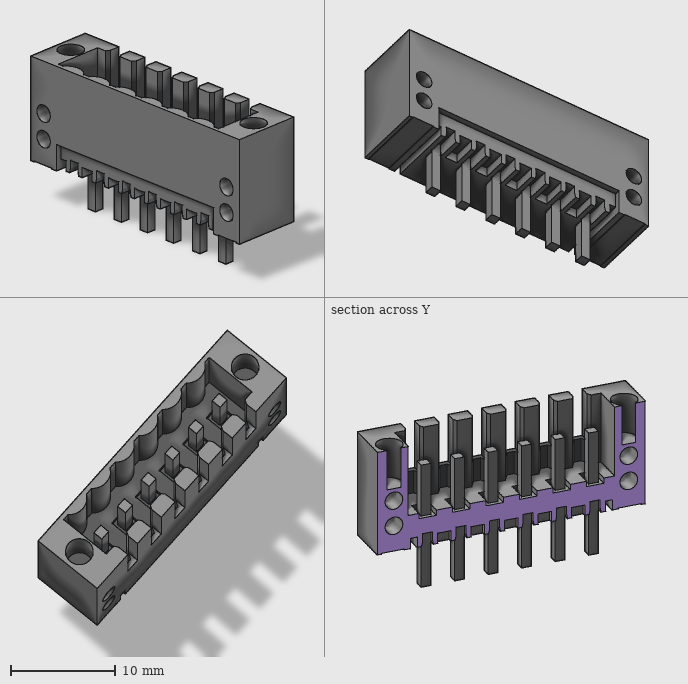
import cadquery as cq

LENGTH = 28.0
DEPTH = 7.45
HEIGHT = 11.0
FRONT = -DEPTH / 2
BACK = DEPTH / 2
PIN_COUNT = 6
PITCH = 3.5

PIN_SIDE = 1.0
PIN_Y = -0.22
PIN_BELOW = 4.55
PIN_TOP = 8.5

CAVITY_LENGTH = 21.53
CAVITY_FLOOR = 3.65
FRONT_WALL = 0.48
BACK_WALL = 1.6
CAVITY_FRONT = FRONT + FRONT_WALL
CAVITY_BACK = BACK - BACK_WALL

RIB_CHORD = 2.75
RIB_RISE = 0.67
FLUTE_MOUTH = 1.95
FLUTE_BOTTOM = 0.75
FLUTE_DEPTH = 1.0
BACK_SLOT_WIDTH = 1.45
BACK_SLOT_DEPTH = 4.98
PIN_WELL_SIDE = 1.8
PIN_WELL_DEPTH = 0.55

END_HOLE_X = LENGTH / 2 - 1.75
SCREW_HOLE_DIAMETER = 2.63
SCREW_HOLE_DEPTH = 4.2
CROSS_HOLE_DIAMETER = 1.8
CROSS_HOLE_HEIGHTS = (2.8, 5.5)

RECESS_LENGTH = 21.05
RECESS_HEIGHT = 2.77
RECESS_DEPTH = 0.6
NOTCH_HEIGHT = 1.1
END_NOTCH_WIDTH = 0.67
NOTCH_WIDTH = 1.35
PIN_SLOT_HEIGHT = 1.35
FLARE_WIDTH = 0.1
FLARE_HEIGHT = 0.45
FOOT_GROOVE_X = LENGTH / 2 - 1.62
FOOT_GROOVE_WIDTH = 2.38
FOOT_GROOVE_HEIGHT = 0.08
RECESS_FACE = FRONT + RECESS_DEPTH
PIN_FRONT = PIN_Y - PIN_SIDE / 2

PIN_XS = [(i - (PIN_COUNT - 1) / 2) * PITCH for i in range(PIN_COUNT)]
NOTCH_XS = [x + PITCH / 2 for x in PIN_XS[:-1]]
SIDES = (-1, 1)


def block(x, width, y_range, z_range):
    """Box centred on x, spanning the given Y and Z ranges."""
    y_min, y_max = y_range
    z_min, z_max = z_range
    size = (width, y_max - y_min, z_max - z_min)
    return cq.Workplane("XY").box(*size, centered=(True, False, False)).translate((x, y_min, z_min))


def square_post(x, side, z_range):
    """Square post on the pin axis at x."""
    return block(x, side, (PIN_Y - side / 2, PIN_Y + side / 2), z_range)


def make_rib(x):
    """Rounded rib on the inner side of the front wall, rising from the cavity floor."""
    half = RIB_CHORD / 2
    return (
        cq.Workplane("XY", origin=(x, CAVITY_FRONT, CAVITY_FLOOR))
        .moveTo(-half, 0)
        .threePointArc((0, RIB_RISE), (half, 0))
        .close()
        .extrude(HEIGHT - CAVITY_FLOOR)
    )


def make_flute(x):
    """Tapered vertical flute in the inner side of the back wall."""
    mouth = FLUTE_MOUTH / 2
    bottom = FLUTE_BOTTOM / 2
    return (
        cq.Workplane("XY", origin=(x, CAVITY_BACK, CAVITY_FLOOR))
        .polyline([(-mouth, 0), (mouth, 0), (bottom, FLUTE_DEPTH), (-bottom, FLUTE_DEPTH)])
        .close()
        .extrude(HEIGHT - CAVITY_FLOOR)
    )


def make_pin_slot(x):
    """Slot from the recess face to the pin, with a flared mouth at the bottom."""
    half = PIN_SIDE / 2
    flared = half + FLARE_WIDTH
    outline = [
        (-flared, 0),
        (-half, FLARE_HEIGHT),
        (-half, PIN_SLOT_HEIGHT),
        (half, PIN_SLOT_HEIGHT),
        (half, FLARE_HEIGHT),
        (flared, 0),
    ]
    return (
        cq.Workplane("XZ", origin=(x, RECESS_FACE, 0))
        .polyline(outline)
        .close()
        .extrude(RECESS_FACE - PIN_FRONT)
    )


def cut_cavity(body):
    """Hollow out the cavity with its ribs, flutes, back slots and pin wells."""
    cavity = block(0, CAVITY_LENGTH, (CAVITY_FRONT, CAVITY_BACK), (CAVITY_FLOOR, HEIGHT))
    body = body.cut(cavity)
    for x in PIN_XS:
        body = body.union(make_rib(x))
        body = body.cut(make_flute(x))
        body = body.cut(block(x, BACK_SLOT_WIDTH, (CAVITY_BACK, BACK), (HEIGHT - BACK_SLOT_DEPTH, HEIGHT)))
        body = body.cut(square_post(x, PIN_WELL_SIDE, (CAVITY_FLOOR - PIN_WELL_DEPTH, CAVITY_FLOOR)))
    return body


def cut_end_blocks(body):
    """Screw hole, two cross holes and a shallow foot groove in each end block."""
    for side in SIDES:
        x = side * END_HOLE_X
        screw_hole = (
            cq.Workplane("XY", origin=(x, 0, HEIGHT))
            .circle(SCREW_HOLE_DIAMETER / 2)
            .extrude(-SCREW_HOLE_DEPTH)
        )
        cross_holes = (
            cq.Workplane("XZ", origin=(x, BACK, 0))
            .pushPoints([(0, z) for z in CROSS_HOLE_HEIGHTS])
            .circle(CROSS_HOLE_DIAMETER / 2)
            .extrude(DEPTH)
        )
        groove = block(side * FOOT_GROOVE_X, FOOT_GROOVE_WIDTH, (FRONT, BACK), (0, FOOT_GROOVE_HEIGHT))
        body = body.cut(screw_hole).cut(cross_holes).cut(groove)
    return body


def cut_underside(body):
    """Front recess, end notches, notches between the pins, pin slots and pin holes."""
    body = body.cut(block(0, RECESS_LENGTH, (FRONT, RECESS_FACE), (0, RECESS_HEIGHT)))
    for side in SIDES:
        x = side * (RECESS_LENGTH - END_NOTCH_WIDTH) / 2
        body = body.cut(block(x, END_NOTCH_WIDTH, (FRONT, BACK), (0, NOTCH_HEIGHT)))
    for x in NOTCH_XS:
        body = body.cut(block(x, NOTCH_WIDTH, (RECESS_FACE, PIN_FRONT), (0, NOTCH_HEIGHT)))
    for x in PIN_XS:
        body = body.cut(make_pin_slot(x))
        body = body.cut(square_post(x, PIN_SIDE, (0, CAVITY_FLOOR)))
    return body


def make_housing():
    body = block(0, LENGTH, (FRONT, BACK), (0, HEIGHT))
    body = cut_cavity(body)
    body = cut_end_blocks(body)
    return cut_underside(body)


def make_pin(x):
    return square_post(x, PIN_SIDE, (-PIN_BELOW, PIN_TOP))


housing = make_housing()
pins = [make_pin(x) for x in PIN_XS]

result = cq.Compound.makeCompound([housing.val(), *[pin.val() for pin in pins]])